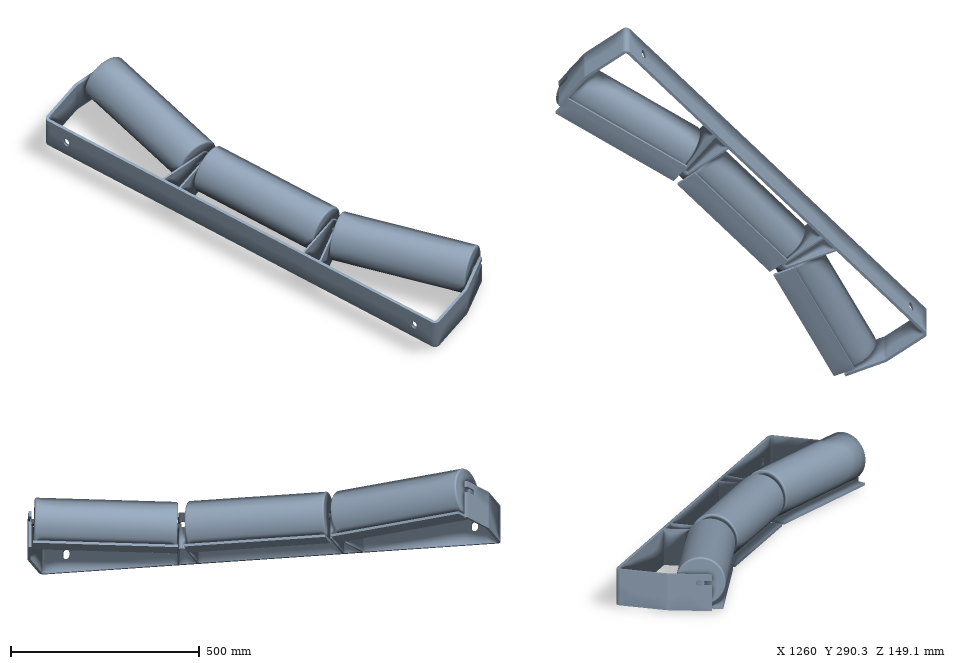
import cadquery as cq
import math

frame_length = 1260.0
frame_height = 100.0
frame_thickness = 8.0
frame_bend_radius = 6.0
arm_bend_y = 146.0
arm_end_y = 261.0
trough_angle = 15.0
mount_slot_width = 18.0
mount_slot_height = 27.0
mount_slot_x = 558.0
mount_slot_z = 50.0

roller_diameter = 133.0
roller_length = 380.0
roller_edge_radius = 5.0
shaft_diameter = 22.0
shaft_flat_width = 14.0
shaft_length = 402.0
shaft_slot_depth = 16.0

centre_axis_y = 126.6
centre_axis_z = 68.0
side_axis_x = 408.5
side_axis_y = 178.0
side_axis_z = 72.0
side_lift_angle = 1.4

guard_length = 386.0
guard_width = 60.0
guard_thickness = 6.9

bracket_thickness = 5.0
bracket_height = frame_height
bracket_bridge_y = 151.0
bracket_straight_x = 196.0
bracket_slant_foot_x = 254.0
bracket_bend_radius = 2.0

trough_slope = math.tan(math.radians(trough_angle))
trough_cos = math.cos(math.radians(trough_angle))
trough_sin = math.sin(math.radians(trough_angle))
left, right = -1, 1


def on_centre_axis(body):
    """Move a body built along the X axis onto the centre roller axis."""
    return body.translate((0, centre_axis_y, centre_axis_z))


def on_side_axis(body, side):
    """Move a body built along the X axis onto the left or right roller axis."""
    lifted = body.rotate((0, 0, 0), (0, 1, 0), -side * side_lift_angle)
    swung = lifted.rotate((0, 0, 0), (0, 0, 1), side * trough_angle)
    return swung.translate((side * side_axis_x, side_axis_y, side_axis_z))


def round_upright_edge(body, corner, radius):
    """Round the upright edge that stands at the given (x, y) corner."""
    reach = 1.0
    x, y = corner
    around = cq.selectors.BoxSelector(
        (x - reach, y - reach, -reach), (x + reach, y + reach, frame_height + reach)
    )
    return body.edges(around).edges("|Z").fillet(radius)


def shaft(length):
    """Round bar along X, flattened above and below."""
    bar = cq.Workplane("YZ").circle(shaft_diameter / 2).extrude(length)
    flats = cq.Workplane("XY").box(2 * length, shaft_diameter, shaft_flat_width)
    return bar.intersect(flats).translate((-length / 2, 0, 0))


def roller():
    profile = cq.Workplane("XZ").rect(roller_length, roller_diameter / 2, centered=(True, False))
    tube = profile.revolve(360, (0, 0, 0), (1, 0, 0)).edges("%CIRCLE").fillet(roller_edge_radius)
    return tube.union(shaft(shaft_length))


def shaft_slot(axis_x):
    """Cutter for a slot that fits the shaft and opens towards +Y, at axis_x along the shaft."""
    opening = cq.Workplane("XY").box(
        shaft_slot_depth, arm_end_y, shaft_flat_width, centered=(True, False, True)
    )
    return shaft(shaft_slot_depth).union(opening).translate((axis_x, 0, 0))


def guard():
    """Strip under a roller, reaching from below the axis towards +Y."""
    strip = cq.Workplane("XY").box(guard_length, guard_width, guard_thickness, centered=(True, False, False))
    return strip.translate((0, 0, -roller_diameter / 2 - guard_thickness))


def frame():
    half = frame_length / 2
    inner_half = half - frame_thickness
    tip = half - (arm_end_y - arm_bend_y) * trough_slope
    inner_bend_y = arm_bend_y - frame_thickness * math.tan(math.radians(trough_angle / 2))
    inner_tip = (tip - frame_thickness * trough_cos, arm_end_y - frame_thickness * trough_sin)
    right_half = [
        (half, 0),
        (half, arm_bend_y),
        (tip, arm_end_y),
        inner_tip,
        (inner_half, inner_bend_y),
        (inner_half, frame_thickness),
    ]
    left_half = [(-x, y) for x, y in reversed(right_half)]
    body = cq.Workplane("XY").polyline(right_half + left_half).close().extrude(frame_height)
    outer_radius = frame_bend_radius + frame_thickness
    for side in (left, right):
        body = round_upright_edge(body, (side * half, 0), outer_radius)
        body = round_upright_edge(body, (side * half, arm_bend_y), outer_radius)
        body = round_upright_edge(body, (side * inner_half, frame_thickness), frame_bend_radius)
        body = round_upright_edge(body, (side * inner_half, inner_bend_y), frame_bend_radius)
    mount_points = [(side * mount_slot_x, mount_slot_z) for side in (left, right)]
    mount_slots = cq.Workplane("XZ").pushPoints(mount_points)
    mount_slots = mount_slots.slot2D(mount_slot_height, mount_slot_width, 90).extrude(-frame_thickness)
    body = body.cut(mount_slots)
    for side in (left, right):
        body = body.cut(on_side_axis(shaft_slot(side * shaft_length / 2), side))
    return body


def bracket(side):
    foot_y = frame_thickness
    inner_y = bracket_bridge_y - bracket_thickness
    inner_straight_x = bracket_straight_x + bracket_thickness

    def slant_x(y):
        return bracket_slant_foot_x - (y - foot_y) * trough_slope

    inner_offset = bracket_thickness / trough_cos
    outer_slant_bend = (side * slant_x(bracket_bridge_y), bracket_bridge_y)
    outer_straight_bend = (side * bracket_straight_x, bracket_bridge_y)
    inner_straight_bend = (side * inner_straight_x, inner_y)
    inner_slant_bend = (side * (slant_x(inner_y) - inner_offset), inner_y)
    outline = [
        (side * slant_x(foot_y), foot_y),
        outer_slant_bend,
        outer_straight_bend,
        (side * bracket_straight_x, foot_y),
        (side * inner_straight_x, foot_y),
        inner_straight_bend,
        inner_slant_bend,
        (side * (slant_x(foot_y) - inner_offset), foot_y),
    ]
    body = cq.Workplane("XY").polyline(outline).close().extrude(bracket_height)
    for corner in (outer_slant_bend, outer_straight_bend):
        body = round_upright_edge(body, corner, bracket_bend_radius + bracket_thickness)
    for corner in (inner_slant_bend, inner_straight_bend):
        body = round_upright_edge(body, corner, bracket_bend_radius)
    body = body.cut(on_side_axis(shaft_slot(-side * shaft_length / 2), side))
    return body.cut(on_centre_axis(shaft_slot(side * shaft_length / 2)))


bodies = [frame().val(), on_centre_axis(roller()).val(), on_centre_axis(guard()).val()]
for side in (left, right):
    bodies.append(bracket(side).val())
    bodies.append(on_side_axis(roller(), side).val())
    bodies.append(on_side_axis(guard(), side).val())

result = cq.Compound.makeCompound(bodies)